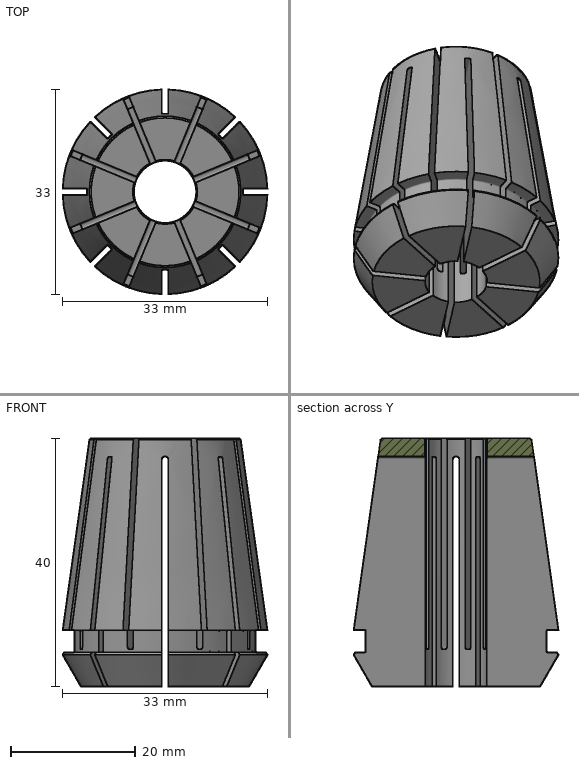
import cadquery as cq
import math

LENGTH = 40.0
MAX_RADIUS = 16.5

TAPER_ANGLE = 8.0
TAPER_START_Z = 9.1
TOP_CHAMFER = 0.3

GROOVE_RADIUS = 14.6
GROOVE_FILLET = 0.2
FLANGE_TOP_Z = 5.5
FLANGE_CHAMFER_RADIAL = 0.25
FLANGE_CHAMFER_HEIGHT = 0.4
FLANGE_ANGLE = 30.0
BOTTOM_CHAMFER = 0.15

BORE_RADIUS = 5.0
BORE_CHAMFER = 0.2

SLOTS_PER_END = 8
SLOT_WIDTH = 1.0
SLOT_CORNER_RADIUS = 0.4
LOWER_SLOT_END_Z = 37.0
UPPER_SLOT_END_Z = 6.0
CLEARANCE = 1.0


def make_body():
    """Solid of revolution: flange, groove and main taper around the bore."""
    flange_edge_z = FLANGE_TOP_Z - FLANGE_CHAMFER_HEIGHT
    flange_slope = math.tan(math.radians(FLANGE_ANGLE))
    flange_foot_radius = MAX_RADIUS - (flange_edge_z - BOTTOM_CHAMFER) * flange_slope
    taper_slope = math.tan(math.radians(TAPER_ANGLE))
    taper_end_z = LENGTH - TOP_CHAMFER
    taper_end_radius = MAX_RADIUS - (taper_end_z - TAPER_START_Z) * taper_slope
    profile = (
        cq.Workplane("XZ")
        .moveTo(BORE_RADIUS, 0)
        .lineTo(flange_foot_radius - BOTTOM_CHAMFER, 0)
        .lineTo(flange_foot_radius, BOTTOM_CHAMFER)
        .lineTo(MAX_RADIUS, flange_edge_z)
        .lineTo(MAX_RADIUS - FLANGE_CHAMFER_RADIAL, FLANGE_TOP_Z)
        .lineTo(GROOVE_RADIUS + GROOVE_FILLET, FLANGE_TOP_Z)
        .radiusArc((GROOVE_RADIUS, FLANGE_TOP_Z + GROOVE_FILLET), GROOVE_FILLET)
        .lineTo(GROOVE_RADIUS, TAPER_START_Z - GROOVE_FILLET)
        .radiusArc((GROOVE_RADIUS + GROOVE_FILLET, TAPER_START_Z), GROOVE_FILLET)
        .lineTo(MAX_RADIUS, TAPER_START_Z)
        .lineTo(taper_end_radius, taper_end_z)
        .lineTo(taper_end_radius - TOP_CHAMFER, LENGTH)
        .lineTo(BORE_RADIUS + BORE_CHAMFER, LENGTH)
        .lineTo(BORE_RADIUS, LENGTH - BORE_CHAMFER)
        .close()
    )
    return profile.revolve(360, (0, 0, 0), (0, 1, 0))


def slot_cutter(open_z, closed_z, angle):
    """Radial slot from the axis outward, with rounded corners at its closed end."""
    length = MAX_RADIUS + CLEARANCE
    closed_face = ">Z" if closed_z > open_z else "<Z"
    return (
        cq.Workplane("XY")
        .box(length, SLOT_WIDTH, abs(closed_z - open_z), centered=(False, True, False))
        .translate((0, 0, min(open_z, closed_z)))
        .faces(closed_face)
        .edges("|X")
        .fillet(SLOT_CORNER_RADIUS)
        .rotate((0, 0, 0), (0, 0, 1), angle)
    )


def cut_slots(body):
    """Cut both sets of slots, the upper set half a pitch round from the lower set."""
    pitch = 360 / SLOTS_PER_END
    for index in range(SLOTS_PER_END):
        lower_angle = index * pitch
        upper_angle = lower_angle + pitch / 2
        body = body.cut(slot_cutter(-CLEARANCE, LOWER_SLOT_END_Z, lower_angle))
        body = body.cut(slot_cutter(LENGTH + CLEARANCE, UPPER_SLOT_END_Z, upper_angle))
    return body


result = cut_slots(make_body()).solids()